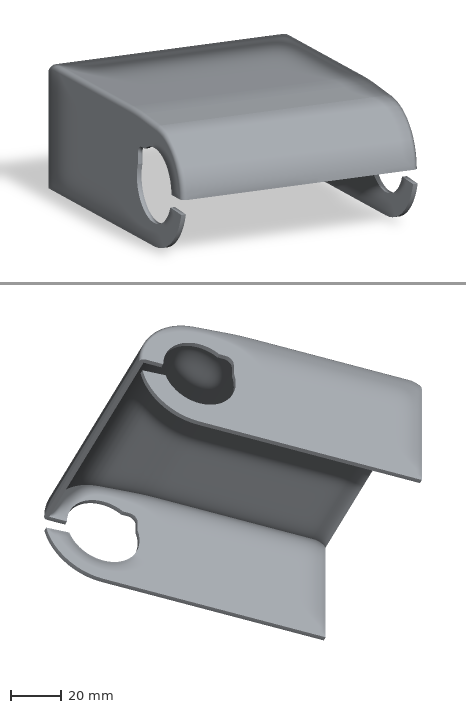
import cadquery as cq
import math

LENGTH = 120.0
WIDTH = 104.4
HEIGHT = 51.8
WALL = 2.0

NOSE_RADIUS = 25.1
NOSE_X = LENGTH - NOSE_RADIUS
NOSE_Z = NOSE_RADIUS
HOLE_RADIUS = 15.5

REAR_ARC_LENGTH = 5.3
REAR_DROP = 1.8
REAR_RADIUS = (REAR_ARC_LENGTH**2 + REAR_DROP**2) / (2 * REAR_DROP)
BEND_X = 72.6
BEND_RADIUS = 112.8

SLOT_DROP_INNER = 5.5
SLOT_DROP_OUTER = 6.1

NOTCH_LEFT = 80.3
NOTCH_TOP = 38.0
NOTCH_RADIUS = 3.5

EDGE_RADIUS = WALL

center_dx = NOSE_X - BEND_X
center_dz = NOSE_Z - (HEIGHT - BEND_RADIUS)
SLOPE = math.atan2(center_dx, center_dz) - math.acos(
    (BEND_RADIUS - NOSE_RADIUS) / math.hypot(center_dx, center_dz)
)


def polar(x, z, radius, angle):
    """Point on a circle, with the angle measured from +Z towards +X."""
    return (x + radius * math.sin(angle), z + radius * math.cos(angle))


def profile(inset):
    """Side outline, with its roof and nose moved inwards by inset."""
    top = HEIGHT - inset
    rear_radius = REAR_RADIUS - inset
    bend_radius = BEND_RADIUS - inset
    nose_radius = NOSE_RADIUS - inset
    rear_angle = -math.asin(REAR_ARC_LENGTH / rear_radius)
    rear_center = (REAR_ARC_LENGTH, HEIGHT - REAR_RADIUS)
    bend_center = (BEND_X, HEIGHT - BEND_RADIUS)
    nose_center = (NOSE_X, NOSE_Z)
    return (
        cq.Workplane("XZ", origin=(0, WIDTH / 2, 0))
        .moveTo(0, 0)
        .lineTo(*polar(*rear_center, rear_radius, rear_angle))
        .threePointArc(polar(*rear_center, rear_radius, rear_angle / 2), (REAR_ARC_LENGTH, top))
        .lineTo(BEND_X, top)
        .threePointArc(
            polar(*bend_center, bend_radius, SLOPE / 2),
            polar(*bend_center, bend_radius, SLOPE),
        )
        .lineTo(*polar(*nose_center, nose_radius, SLOPE))
        .threePointArc(
            polar(*nose_center, nose_radius, (SLOPE + math.pi / 2) / 2),
            (NOSE_X + nose_radius, NOSE_Z),
        )
    )


def rounded_body():
    """Solid body down to the base, rounded where the roof meets both sides."""
    body = profile(0).lineTo(NOSE_X, NOSE_Z).lineTo(NOSE_X, 0).close().extrude(WIDTH)
    roof_edges = cq.selectors.BoxSelector((0, -WIDTH, NOSE_Z + WALL), (LENGTH, WIDTH, HEIGHT + WALL))
    body = body.faces("<Y or >Y").edges(roof_edges).edges("not |Z").fillet(EDGE_RADIUS)
    lower_nose = (
        cq.Workplane("XZ", origin=(0, WIDTH / 2, 0))
        .moveTo(NOSE_X, 0)
        .threePointArc(
            polar(NOSE_X, NOSE_Z, NOSE_RADIUS, 0.75 * math.pi),
            (LENGTH, NOSE_Z),
        )
        .lineTo(NOSE_X, NOSE_Z)
        .close()
        .extrude(WIDTH)
    )
    return body.union(lower_nose)


def inner_space():
    """Space between the side plates, open at the rear, the base and the lower nose."""
    inner_width = WIDTH - 2 * WALL
    return (
        profile(WALL)
        .lineTo(LENGTH, NOSE_Z)
        .lineTo(LENGTH, 0)
        .close()
        .extrude(inner_width)
        .translate((0, -WALL, 0))
    )


def side_opening():
    """Hole, notch and slot, running through both side plates."""
    plane = cq.Workplane("XZ", origin=(0, WIDTH / 2, 0))
    hole = plane.center(NOSE_X, NOSE_Z).circle(HOLE_RADIUS).extrude(WIDTH)
    notch = (
        plane.moveTo(NOTCH_LEFT, NOSE_Z)
        .lineTo(NOTCH_LEFT, NOTCH_TOP)
        .lineTo(NOSE_X, NOTCH_TOP)
        .lineTo(NOSE_X, NOSE_Z)
        .close()
        .extrude(WIDTH)
        .edges("|Y")
        .edges("<X")
        .edges(">Z")
        .fillet(NOTCH_RADIUS)
    )
    slot = (
        plane.moveTo(NOSE_X, NOSE_Z)
        .lineTo(LENGTH, NOSE_Z)
        .lineTo(LENGTH, NOSE_Z - SLOT_DROP_OUTER)
        .lineTo(NOSE_X + HOLE_RADIUS, NOSE_Z - SLOT_DROP_INNER)
        .lineTo(NOSE_X, NOSE_Z - SLOT_DROP_INNER)
        .close()
        .extrude(WIDTH)
    )
    return hole.union(notch).union(slot)


result = rounded_body().cut(inner_space()).cut(side_opening())